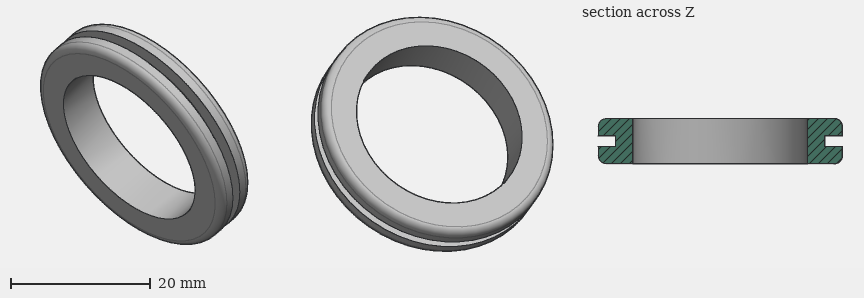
import cadquery as cq

outer_diameter = 35.0
bore_diameter = 25.0
groove_diameter = 30.0
ring_width = 6.5
groove_width = 1.5
rim_radius = 1.2


def disc(diameter, width):
    """Solid disc on the Y axis, centred on the origin."""
    back_face = cq.Workplane("XZ", origin=(0, width / 2, 0))
    return back_face.circle(diameter / 2).extrude(width)


body = disc(outer_diameter, ring_width).faces("<Y or >Y").edges().fillet(rim_radius)

groove = disc(outer_diameter, groove_width).cut(disc(groove_diameter, groove_width))

bore = disc(bore_diameter, ring_width)

result = body.cut(groove).cut(bore)